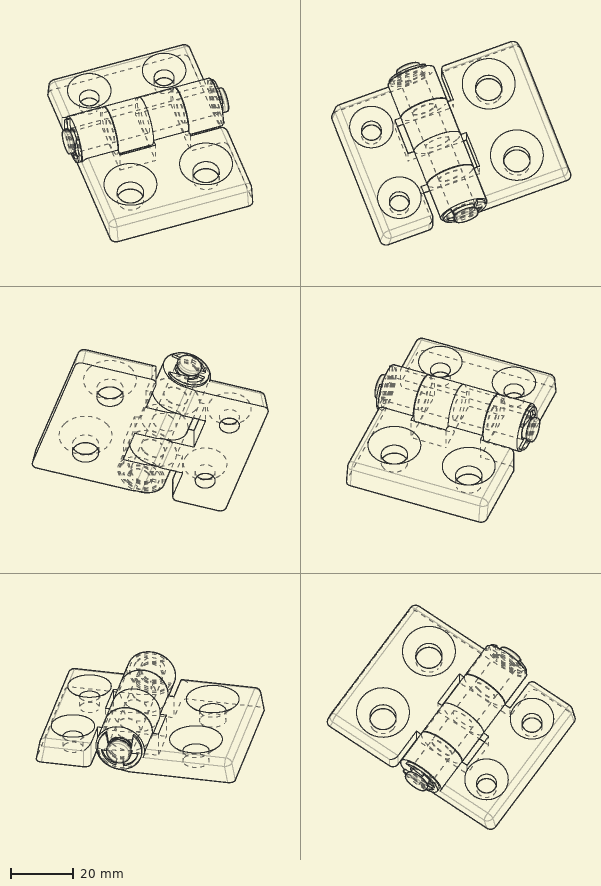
import cadquery as cq
import math

BARREL_RADIUS = 8.0
BARREL_FLOOR_GAP = 0.5
AXIS_HEIGHT = BARREL_FLOOR_GAP + BARREL_RADIUS

LEAF_THICKNESS = 8.0
LEAF_HALF_WIDTH = 24.2
EDGE_RADIUS = 2.0
END_DRAFT = 10
NARROW_REACH = 28.0
OPEN_LENGTH = 65.5
WIDE_REACH = OPEN_LENGTH - NARROW_REACH
NARROW_KNUCKLE_END = 23.75
NOTCH_DEPTH = 10.0
INNER_KNUCKLE_WIDTH = 11.9
KNUCKLE_GAP = 0.2
BOTTOM_GROOVE_HALF_WIDTH = 2.9

NARROW_HOLES = {"distance": 17.95, "pitch": 25.5, "bore": 6.4, "sink": 14.0}
WIDE_HOLES = {"distance": 22.5, "pitch": 25.7, "bore": 8.5, "sink": 17.0}
SINK_ANGLE = 90

PIN_LENGTH = 54.3
PIN_RADIUS = 4.0
COLLAR_FILLET = 0.5
COLLAR_LENGTH = 1.95
NECK_RADIUS = PIN_RADIUS - COLLAR_FILLET

CLIP_THICKNESS = 0.9
CLIP_RADIUS = 7.25
CLIP_WINDOW_RADIUS = 6.0
CLIP_WINDOW_TOP = -0.85
CLIP_MOUTH_HALF_WIDTH = 4.65
CLIP_TAB_ROOT_HALF_WIDTH = 1.3
CLIP_TAB_TIP_HALF_WIDTH = 1.05
FRONT_CLIP_ANGLE = 0
BACK_CLIP_ANGLE = 82


def box_between(corner, opposite):
    """Axis-aligned box from its lowest corner to its highest corner."""
    size = [high - low for low, high in zip(corner, opposite)]
    return cq.Workplane("XY").box(*size, centered=False).translate(corner)


def cylinder_along_axis(radius, start, end):
    """Cylinder on the hinge axis between two Y positions."""
    disc = cq.Workplane("XZ", origin=(0, start, AXIS_HEIGHT)).circle(radius)
    return disc.extrude(start - end)


def rounded_plate(reach, knuckle_end):
    """Plate from the hinge axis to the drafted, rounded end at X = reach."""
    top_reach = reach - LEAF_THICKNESS * math.tan(math.radians(END_DRAFT))
    plate = (
        cq.Workplane("XZ", origin=(0, LEAF_HALF_WIDTH, 0))
        .moveTo(0, BARREL_FLOOR_GAP)
        .lineTo(BOTTOM_GROOVE_HALF_WIDTH, 0)
        .lineTo(reach, 0)
        .lineTo(top_reach, LEAF_THICKNESS)
        .lineTo(0, LEAF_THICKNESS)
        .close()
        .extrude(LEAF_HALF_WIDTH + knuckle_end)
    )
    drafted_corners = plate.faces(">X").edges("not |Y")
    plate = drafted_corners.fillet(EDGE_RADIUS)
    rim = plate.faces(">Z").edges("not <X")
    return rim.fillet(EDGE_RADIUS)


def knuckle_spans(knuckle_end):
    """Y ranges of a leaf's end knuckle and inner knuckle."""
    return [(-knuckle_end, -INNER_KNUCKLE_WIDTH - KNUCKLE_GAP), (0, INNER_KNUCKLE_WIDTH)]


def leaf_outline(knuckle_end, reach):
    """Prism of the leaf's plan: notches beside the knuckles, and one rounded free corner."""
    plan = box_between((NOTCH_DEPTH, -knuckle_end, 0), (reach, LEAF_HALF_WIDTH, LEAF_THICKNESS))
    plan = plan.edges("|Z and <X and >Y").fillet(EDGE_RADIUS)
    for start, end in knuckle_spans(knuckle_end):
        plan = plan.union(box_between((0, start, 0), (NOTCH_DEPTH, end, LEAF_THICKNESS)))
    return plan


def screw_hole(holes, y):
    """Solid of one countersunk through hole, open at the top face."""
    bore_radius = holes["bore"] / 2
    sink_radius = holes["sink"] / 2
    sink_depth = (sink_radius - bore_radius) / math.tan(math.radians(SINK_ANGLE / 2))
    half_section = (
        cq.Workplane("XZ", origin=(holes["distance"], y, 0))
        .lineTo(bore_radius, 0)
        .lineTo(bore_radius, LEAF_THICKNESS - sink_depth)
        .lineTo(sink_radius, LEAF_THICKNESS)
        .lineTo(0, LEAF_THICKNESS)
        .close()
    )
    return half_section.revolve(360, (0, 0, 0), (0, 1, 0))


def make_leaf(reach, knuckle_end, holes):
    """Leaf that points to +X, with its end knuckle on the -Y side."""
    leaf = rounded_plate(reach, knuckle_end).intersect(leaf_outline(knuckle_end, reach))
    for start, end in knuckle_spans(knuckle_end):
        leaf = leaf.union(cylinder_along_axis(BARREL_RADIUS, start, end))
    leaf = leaf.cut(cylinder_along_axis(PIN_RADIUS, -knuckle_end, LEAF_HALF_WIDTH))
    middle = (LEAF_HALF_WIDTH - knuckle_end) / 2
    for y in (middle - holes["pitch"] / 2, middle + holes["pitch"] / 2):
        leaf = leaf.cut(screw_hole(holes, y))
    return leaf


def make_pin():
    """Pin with a rounded collar at each end and a neck behind each collar for a clip."""
    half_length = PIN_LENGTH / 2
    neck_end = half_length - COLLAR_LENGTH
    pin = cylinder_along_axis(PIN_RADIUS, -NARROW_KNUCKLE_END, NARROW_KNUCKLE_END)
    pin = pin.union(cylinder_along_axis(NECK_RADIUS, -neck_end, neck_end))
    for start in (-half_length, neck_end):
        collar = cylinder_along_axis(PIN_RADIUS, start, start + COLLAR_LENGTH)
        pin = pin.union(collar.edges("%CIRCLE").fillet(COLLAR_FILLET))
    return pin


def clip_disc(radius):
    """Disc of the clip's thickness, centred on the Y axis."""
    return cq.Workplane("XZ").circle(radius).extrude(-CLIP_THICKNESS)


def clip_taper(low_half_width, low_z, high_half_width, high_z):
    """Symmetric trapezoid of the clip's thickness between two heights."""
    outline = [
        (-low_half_width, low_z),
        (low_half_width, low_z),
        (high_half_width, high_z),
        (-high_half_width, high_z),
    ]
    return cq.Workplane("XZ").polyline(outline).close().extrude(-CLIP_THICKNESS)


def make_clip(start, mouth_angle):
    """Clip with its mouth turned from +Z towards +X, and its front face at Y = start."""
    mouth = clip_taper(NECK_RADIUS, CLIP_WINDOW_TOP, CLIP_MOUTH_HALF_WIDTH, CLIP_RADIUS)
    below_arms = clip_taper(CLIP_RADIUS, -CLIP_RADIUS, CLIP_RADIUS, CLIP_WINDOW_TOP)
    tab = clip_taper(CLIP_TAB_ROOT_HALF_WIDTH, -CLIP_WINDOW_RADIUS, CLIP_TAB_TIP_HALF_WIDTH, -PIN_RADIUS)
    tab = tab.union(clip_taper(CLIP_TAB_TIP_HALF_WIDTH, -PIN_RADIUS, CLIP_TAB_TIP_HALF_WIDTH, 0))
    windows = clip_disc(CLIP_WINDOW_RADIUS).intersect(below_arms).cut(tab)
    clip = clip_disc(CLIP_RADIUS).cut(mouth).cut(windows).cut(clip_disc(NECK_RADIUS))
    return clip.rotate((0, 0, 0), (0, 1, 0), mouth_angle).translate((0, start, AXIS_HEIGHT))


wide_leaf = make_leaf(WIDE_REACH, LEAF_HALF_WIDTH, WIDE_HOLES)
narrow_leaf = make_leaf(NARROW_REACH, NARROW_KNUCKLE_END, NARROW_HOLES)
narrow_leaf = narrow_leaf.rotate((0, 0, 0), (0, 0, 1), 180)
pin = make_pin()
clip_places = [
    (-LEAF_HALF_WIDTH - CLIP_THICKNESS, FRONT_CLIP_ANGLE),
    (NARROW_KNUCKLE_END, BACK_CLIP_ANGLE),
]
clips = [make_clip(start, angle).val() for start, angle in clip_places]

result = cq.Compound.makeCompound([wide_leaf.val(), narrow_leaf.val(), pin.val(), *clips])